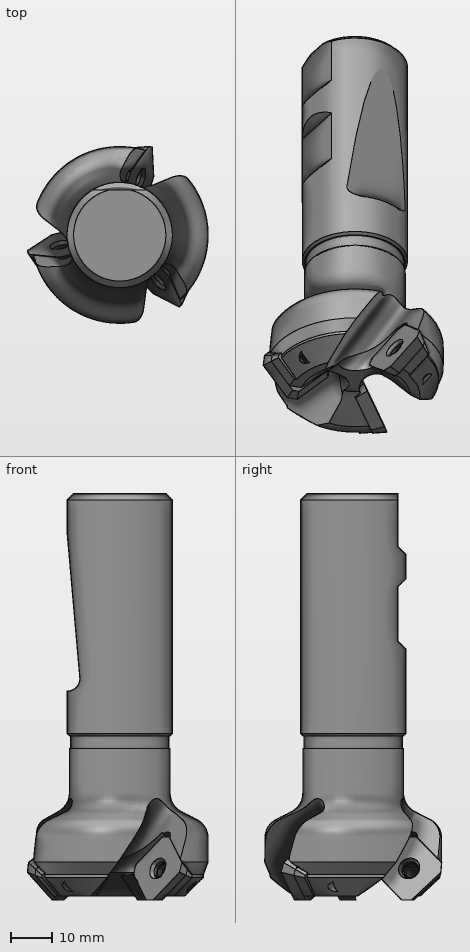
import cadquery as cq
import math

tool_length = 98.0
shank_radius = 12.69
shank_bottom = 39.6
top_chamfer = 1.6
shank_edge_chamfer = 0.6
groove_radius = 11.9
groove_bottom = 36.5
neck_radius = 12.1

head_radius = 21.31
neck_bottom = 25.8
profile_round = 5.0
shoulder_angle = 27.0
head_wall_bottom = 9.2
band_radius = 20.2
band_top = 6.2
band_bottom = 5.5
body_bottom = 1.0

notch_angle = 5.0
notch_top = 88.6
notch_floor = 50.4
notch_fillet = 3.0

side_flat_distance = 10.8
upper_flat_bottom = 85.2
lower_flat_top = 75.5
lower_flat_bottom = 62.4

flute_count = 3
flute_angle = -47.5
axial_rake = 20.5
lead_angle = 45.0
seat_radial = 14.4
seat_side = -0.8
seat_height = 7.6
face_step = 0.2
flute_tilt = 30.0
flute_opening = 32.0
flute_root_radius = 3.7
flute_root_offset = 6.4
flute_reach = 39.2
flute_half_length = 39.2

insert_side = 13.2
insert_corner = 1.8
insert_thickness = 3.2
insert_clearance = 20.0
screw_hole_diameter = 3.5
head_seat_diameter = 4.1
head_seat_depth = 1.8
countersink_diameter = 5.3
countersink_depth = 0.9
pad_thickness = 2.8
screw_hole_depth = 8.2
relief_diameter = 2.7

gullet_radius = 3.9
gullet_offset = 4.9
gullet_lift = 2.3
gullet_end = 5.4
gullet_length = 19.6

recess_top = 6.7
recess_top_radius = 6.7
recess_bottom_radius = 13.3


def seat_plane():
    """Plane of an insert face at angle 0: X outward, Y up along the face, normal forward."""
    rake = math.radians(axial_rake)
    return cq.Plane(
        origin=(seat_radial, seat_side, seat_height),
        xDir=(1, 0, 0),
        normal=(0, -math.cos(rake), math.sin(rake)),
    )


def insert_turn():
    """In-plane turn of the square that sets its edges at the lead angle in profile."""
    rake = math.radians(axial_rake)
    return math.degrees(math.atan(math.tan(math.radians(lead_angle)) / math.cos(rake)))


def insert_outline():
    """Square with cut corners on the seat plane."""
    half = insert_side / 2
    near = half - insert_corner
    corners = [
        (-near, -half), (near, -half), (half, -near), (half, near),
        (near, half), (-near, half), (-half, near), (-half, -near),
    ]
    turn = math.radians(insert_turn())
    turned = [
        (x * math.cos(turn) - y * math.sin(turn), x * math.sin(turn) + y * math.cos(turn))
        for x, y in corners
    ]
    return cq.Workplane(seat_plane()).polyline(turned).close()


def insert_blank():
    """Insert without its hole, tapering back from the face."""
    return insert_outline().extrude(-insert_thickness, taper=insert_clearance)


def around_axis(shape, index):
    """Turn a shape built at angle 0 to the place of one flute."""
    return shape.rotate((0, 0, 0), (0, 0, 1), flute_angle + index * 360 / flute_count)


def turned_body():
    """Shank, groove, neck and head as one revolved profile."""
    slope = math.radians(shoulder_angle)
    turn = math.pi / 2 - slope
    mid_turn = turn / 2
    fillet_x = neck_radius + profile_round
    round_x = head_radius - profile_round
    cone_top_r = fillet_x - profile_round * math.cos(turn)
    cone_top_z = neck_bottom - profile_round * math.sin(turn)
    cone_end_r = round_x + profile_round * math.cos(turn)
    cone_end_z = cone_top_z - (cone_end_r - cone_top_r) * math.tan(slope)
    round_z = cone_end_z - profile_round * math.sin(turn)
    fillet_mid = (
        fillet_x - profile_round * math.cos(mid_turn),
        neck_bottom - profile_round * math.sin(mid_turn),
    )
    round_mid = (
        round_x + profile_round * math.cos(mid_turn),
        round_z + profile_round * math.sin(mid_turn),
    )
    profile = (
        cq.Workplane("XZ")
        .moveTo(0, body_bottom)
        .lineTo(band_radius - (band_bottom - body_bottom), body_bottom)
        .lineTo(band_radius, band_bottom)
        .lineTo(band_radius, band_top)
        .lineTo(head_radius, head_wall_bottom)
        .lineTo(head_radius, round_z)
        .threePointArc(round_mid, (cone_end_r, cone_end_z))
        .lineTo(cone_top_r, cone_top_z)
        .threePointArc(fillet_mid, (neck_radius, neck_bottom))
        .lineTo(neck_radius, groove_bottom)
        .lineTo(groove_radius, groove_bottom)
        .lineTo(groove_radius, shank_bottom)
        .lineTo(shank_radius - shank_edge_chamfer, shank_bottom)
        .lineTo(shank_radius, shank_bottom + shank_edge_chamfer)
        .lineTo(shank_radius, tool_length - top_chamfer)
        .lineTo(shank_radius - top_chamfer, tool_length)
        .lineTo(0, tool_length)
        .close()
    )
    return profile.revolve(360, (0, 0, 0), (0, 1, 0))


def clamping_notch():
    """Wedge with a rounded inner corner that leaves the sloped flat on the -X side."""
    outside = 2 * shank_radius
    slope = math.tan(math.radians(notch_angle))
    floor_depth = (notch_top - notch_floor) * slope
    wedge = (
        cq.Workplane("XZ", origin=(-shank_radius, 0, 0))
        .moveTo(0, notch_top)
        .lineTo(floor_depth, notch_floor)
        .lineTo(-outside, notch_floor)
        .lineTo(-outside, notch_top)
        .close()
        .extrude(shank_radius, both=True)
    )
    inner_corner = cq.selectors.NearestToPointSelector((floor_depth - shank_radius, 0, notch_floor))
    return wedge.edges("|Y").edges(inner_corner).fillet(notch_fillet)


def side_flats():
    """Two flats on the +Y side, with 45 degree ends on either side of a full-diameter band."""
    depth = shank_radius - side_flat_distance
    upper = [
        (side_flat_distance, tool_length),
        (side_flat_distance, upper_flat_bottom),
        (shank_radius, upper_flat_bottom - depth),
        (shank_radius, tool_length),
    ]
    lower = [
        (side_flat_distance, lower_flat_top),
        (side_flat_distance, lower_flat_bottom),
        (shank_radius, lower_flat_bottom - depth),
        (shank_radius, lower_flat_top + depth),
    ]
    cutter = cq.Workplane("YZ").polyline(upper).close().extrude(shank_radius, both=True)
    return cutter.add(cq.Workplane("YZ").polyline(lower).close().extrude(shank_radius, both=True)).combine()


def flute_cutter():
    """V channel between the flute face and the flute wall, with a rounded root."""
    seat = seat_plane()
    tilt = math.radians(flute_tilt)
    opening = math.radians(flute_opening)
    half_opening = opening / 2
    across = seat.xDir * math.cos(tilt) - seat.yDir * math.sin(tilt)
    along = seat.xDir * math.sin(tilt) + seat.yDir * math.cos(tilt)
    channel = cq.Plane(origin=seat.origin, xDir=across, normal=along * -1)

    root_to_apex = flute_root_radius / math.tan(half_opening)
    apex_x = -flute_root_offset - root_to_apex
    apex = (apex_x, -face_step)
    face_end = (apex_x + flute_reach, -face_step)
    wall_end = (
        apex_x + flute_reach * math.cos(opening),
        -face_step + flute_reach * math.sin(opening),
    )
    prism = (
        cq.Workplane(channel)
        .polyline([apex, face_end, wall_end])
        .close()
        .extrude(flute_half_length, both=True)
    )
    tip = channel.toWorldCoords(apex)
    root_edge = cq.selectors.NearestToPointSelector(tip.toTuple())
    return prism.edges(cq.selectors.ParallelDirSelector(along)).edges(root_edge).fillet(flute_root_radius)


def gullet_cutter():
    """Round groove along the upper inner edge of the insert, open toward the tool bottom."""
    turn = math.radians(insert_turn())
    seat = seat_plane()
    along = seat.xDir * math.cos(turn) + seat.yDir * math.sin(turn)
    inward = seat.yDir * math.cos(turn) - seat.xDir * math.sin(turn)
    end = seat.origin + along * gullet_end + inward * gullet_offset + seat.zDir * gullet_lift
    groove = cq.Plane(origin=end, xDir=inward, normal=along)
    return cq.Workplane(groove).circle(gullet_radius).extrude(-gullet_length)


def bottom_recess():
    """Conical hollow in the underside, flush with the inner lower edges of the inserts."""
    return (
        cq.Workplane("XZ")
        .moveTo(0, body_bottom)
        .lineTo(recess_bottom_radius, body_bottom)
        .lineTo(recess_top_radius, recess_top)
        .lineTo(0, recess_top)
        .close()
        .revolve(360, (0, 0, 0), (0, 1, 0))
    )


def screw_hole():
    """Screw hole behind the insert, just breaking out through the lower cone of the head."""
    radius = screw_hole_diameter / 2
    seat = cq.Workplane(seat_plane()).workplane(offset=-insert_thickness)
    return seat.circle(radius).extrude(-screw_hole_depth)


def corner_relief():
    """Round clearance at the upper pocket corner."""
    turn = math.radians(insert_turn() + 45)
    reach = (insert_side - insert_corner) / math.sqrt(2)
    return (
        cq.Workplane(seat_plane())
        .center(reach * math.cos(turn), reach * math.sin(turn))
        .circle(relief_diameter / 2)
        .extrude(-insert_thickness)
    )


def support_pad():
    """Body material behind the insert, tapered on from the insert's sides and cut level underneath."""
    pad = insert_outline().extrude(-insert_thickness - pad_thickness, taper=insert_clearance)
    above_bottom = cq.Workplane(origin=(0, 0, body_bottom)).circle(2 * head_radius).extrude(neck_bottom)
    return pad.intersect(above_bottom)


def build_body():
    body = turned_body().cut(clamping_notch()).cut(side_flats())
    for index in range(flute_count):
        body = body.union(around_axis(support_pad(), index))
    body = body.cut(bottom_recess())
    cutters = [flute_cutter(), gullet_cutter(), insert_blank(), screw_hole(), corner_relief()]
    for index in range(flute_count):
        for cutter in cutters:
            body = body.cut(around_axis(cutter, index))
    return body


def build_insert():
    """Insert with a stepped, countersunk screw hole."""
    face = cq.Workplane(seat_plane())
    bore = face.circle(screw_hole_diameter / 2).extrude(-insert_thickness)
    head_seat = face.circle(head_seat_diameter / 2).extrude(-head_seat_depth)
    countersink = (
        face.circle(countersink_diameter / 2)
        .workplane(offset=-countersink_depth)
        .circle(head_seat_diameter / 2)
        .loft()
    )
    return insert_blank().cut(bore).cut(head_seat).cut(countersink)


body = build_body()
inserts = [around_axis(build_insert(), index) for index in range(flute_count)]

result = cq.Compound.makeCompound([body.val(), *[insert.val() for insert in inserts]])